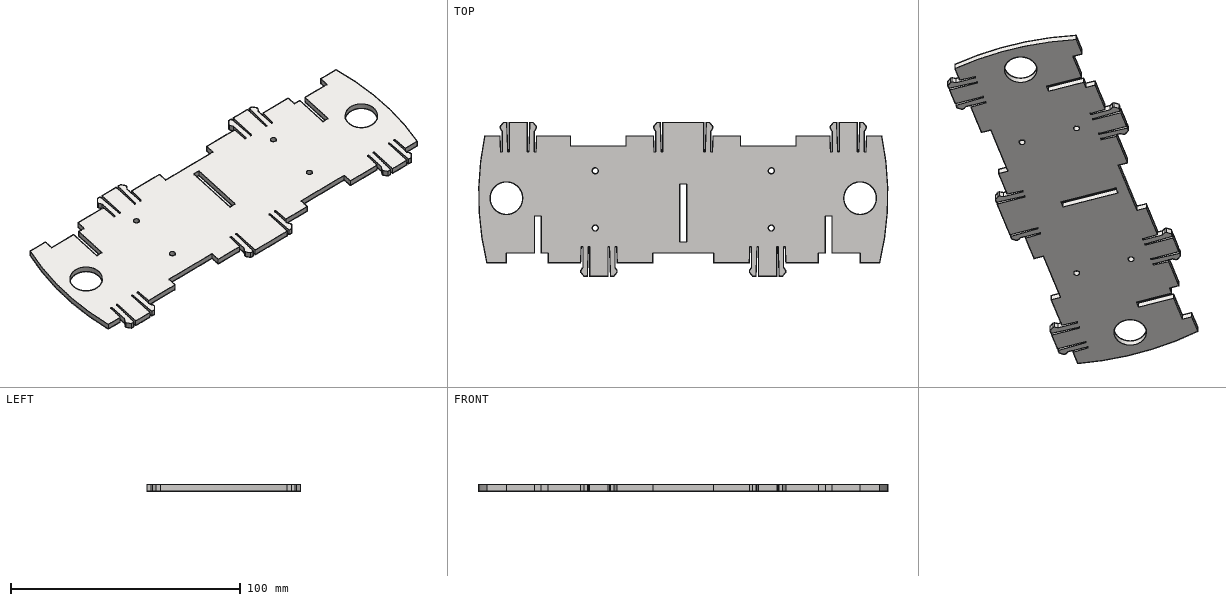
import cadquery as cq

length = 178.4
width_over_tabs = 67.0
thickness = 3.0

half_length = length / 2
tab_end_y = width_over_tabs / 2
body_edge_y = 27.7
edge_recess_depth = 4.3
recess_floor_y = body_edge_y - edge_recess_depth

end_bulge_y = 1.8
top_corner_x = 86.5
bottom_corner_x = 85.6

top_recess_inner_x = 25.0
top_recess_outer_x = 49.0
bottom_recess_inner_x = 58.9
bottom_recess_outer_x = 77.0
middle_recess_width = 26.4

slot_width = 2.9
side_slot_x = 63.3
side_slot_depth = 16.0
middle_slot_length = 25.2
middle_slot_y = -5.9

large_hole_diameter = 14.1
large_hole_x = 77.0
large_hole_y = 0.5
small_hole_diameter = 2.5
small_hole_x = 38.4
small_hole_y = 12.5

tab_root_y = 20.7
tab_overlap = 0.9
inner_gap_root = 0.5
inner_gap_end = 0.98
outer_gap_root = 0.62
outer_gap_edge = 0.9
leg_reach = 3.0
barb_overhang = 0.9
barb_base_y = 29.6
barb_tip_y = 31.4
barb_tip_flat = 0.7
leg_end_taper = 0.5
narrow_block_width = 8.0
wide_block_width = 18.0
outer_top_tab_x = 71.9
bottom_tab_x = 36.8


def rectangle(x_min, x_max, y_min, y_max):
    """Full-thickness rectangular prism between the given limits."""
    return (
        cq.Workplane("XY")
        .center((x_min + x_max) / 2, (y_min + y_max) / 2)
        .rect(x_max - x_min, y_max - y_min)
        .extrude(thickness)
    )


def body():
    """Plate with straight long edges and arc-shaped short ends."""
    return (
        cq.Workplane("XY")
        .moveTo(-top_corner_x, body_edge_y)
        .lineTo(top_corner_x, body_edge_y)
        .threePointArc((half_length, end_bulge_y), (bottom_corner_x, -body_edge_y))
        .lineTo(-bottom_corner_x, -body_edge_y)
        .threePointArc((-half_length, end_bulge_y), (-top_corner_x, body_edge_y))
        .close()
        .extrude(thickness)
    )


def edge_recesses():
    """Shallow recesses: two in the +Y edge, three in the -Y edge."""
    half_middle = middle_recess_width / 2
    cuts = rectangle(-half_middle, half_middle, -body_edge_y, -recess_floor_y)
    top = rectangle(top_recess_inner_x, top_recess_outer_x, recess_floor_y, body_edge_y)
    bottom = rectangle(bottom_recess_inner_x, bottom_recess_outer_x, -body_edge_y, -recess_floor_y)
    for recess in (top, bottom):
        cuts = cuts.union(recess).union(recess.mirror("YZ"))
    return cuts


def slots():
    """Closed slot in the middle and an open slot in each outer -Y recess."""
    middle_slot = cq.Workplane("XY").center(0, middle_slot_y).rect(slot_width, middle_slot_length)
    cuts = middle_slot.extrude(thickness)
    side_slot = rectangle(
        side_slot_x - slot_width / 2,
        side_slot_x + slot_width / 2,
        -body_edge_y,
        -recess_floor_y + side_slot_depth,
    )
    return cuts.union(side_slot).union(side_slot.mirror("YZ"))


def holes():
    """One large hole near each end and four small holes around the middle."""
    large_points = [(side * large_hole_x, large_hole_y) for side in (-1, 1)]
    small_points = [(sx * small_hole_x, sy * small_hole_y) for sx in (-1, 1) for sy in (-1, 1)]
    large = cq.Workplane("XY").pushPoints(large_points).circle(large_hole_diameter / 2).extrude(thickness)
    small = cq.Workplane("XY").pushPoints(small_points).circle(small_hole_diameter / 2).extrude(thickness)
    return large.union(small)


def prism(points):
    """Full-thickness prism over a closed polygon."""
    return cq.Workplane("XY").polyline(points).close().extrude(thickness)


def leg_outer_x(block_width):
    """Distance from the tab's centre line to the outer face of its legs."""
    return block_width / 2 + leg_reach


def tab_clearance(block_width):
    """Tapered opening in the +Y edge that frees a tab centred on X = 0."""
    root_x = leg_outer_x(block_width) + outer_gap_root
    edge_x = leg_outer_x(block_width) + outer_gap_edge
    return prism(
        [
            (-root_x, tab_root_y),
            (root_x, tab_root_y),
            (edge_x, body_edge_y),
            (-edge_x, body_edge_y),
        ]
    )


def snap_tab(block_width):
    """Block and two barbed legs pointing to +Y, centred on X = 0."""
    block_side_x = block_width / 2
    inner_root_x = block_side_x + inner_gap_root
    inner_end_x = block_side_x + inner_gap_end
    outer_x = leg_outer_x(block_width)
    tip_x = outer_x + barb_overhang
    start_y = tab_root_y - tab_overlap
    leg = prism(
        [
            (inner_root_x, start_y),
            (inner_root_x, tab_root_y),
            (inner_end_x, tab_end_y),
            (outer_x - leg_end_taper, tab_end_y),
            (tip_x, barb_tip_y + barb_tip_flat / 2),
            (tip_x, barb_tip_y - barb_tip_flat / 2),
            (outer_x, barb_base_y),
            (outer_x, start_y),
        ]
    )
    block = rectangle(-block_side_x, block_side_x, start_y, tab_end_y)
    return block.union(leg).union(leg.mirror("YZ"))


plate = body().cut(edge_recesses()).cut(slots()).cut(holes())

tabs = [
    (-outer_top_tab_x, narrow_block_width, 0),
    (0, wide_block_width, 0),
    (outer_top_tab_x, narrow_block_width, 0),
    (-bottom_tab_x, narrow_block_width, 180),
    (bottom_tab_x, narrow_block_width, 180),
]
for tab_x, block_width, turn in tabs:
    opening = tab_clearance(block_width).rotate((0, 0, 0), (0, 0, 1), turn).translate((tab_x, 0, 0))
    tab = snap_tab(block_width).rotate((0, 0, 0), (0, 0, 1), turn).translate((tab_x, 0, 0))
    plate = plate.cut(opening).union(tab)

result = plate